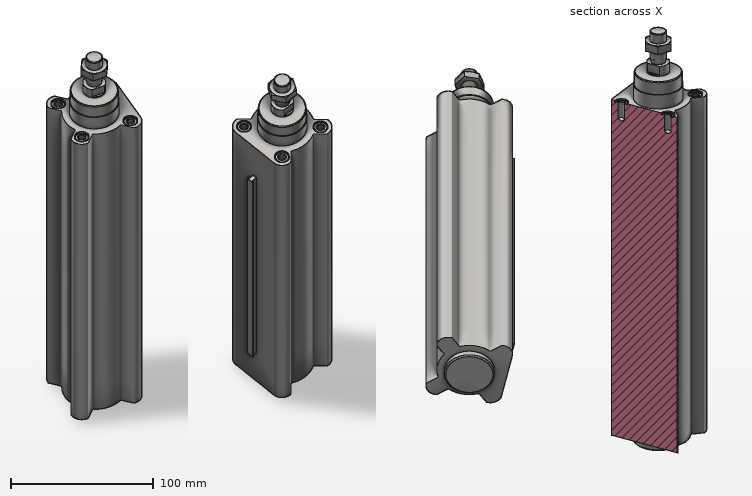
import cadquery as cq
import math


rear_collar_height = 4.8
tube_top = 269.0
collar_step_height = 11.0
collar_height = 21.0
collar_top = tube_top + collar_height
shoulder_top = 297.8
thread_start = 301.5
overall_height = 322.0

tube_radius = 23.0
tube_length = tube_top - rear_collar_height
bolt_pitch = 38.0
lug_end_radius = 8.0
lug_width = 13.0
lug_angles = (45, 135, 225, 315)
lug_edge_fillet = 1.3
lug_root_fillet = 1.0
radius_tolerance = 0.03
back_face_y = 27.0

collar_diameter = 35.0
collar_nose_diameter = 33.8
rear_chamfer = 1.0
nose_chamfer = 0.5

recess_diameter = 10.3
recess_depth = 1.5
screw_head_diameter = 9.5
screw_head_top_diameter = 9.0
screw_head_drop = 0.5
screw_head_bevel = (screw_head_diameter - screw_head_top_diameter) / 2
screw_hole_diameter = 4.8
screw_countersink_diameter = 6.0
screw_countersink_depth = (screw_countersink_diameter - screw_hole_diameter) / 2
screw_hole_depth = 13.0
drill_point_angle = 118

rail_bottom = 37.5
rail_length = 199.0
rail_head_width = 5.0
rail_web_width = 3.2
rail_height = 4.8
rail_head_thickness = 1.0

rod_diameter = 16.0
rod_bore_depth = 32.2
rod_flats_width = 13.0
rod_flats_bottom = collar_top + 1.0
thread_diameter = 12.0
thread_chamfer = 0.5
neck_diameter = 10.3
neck_taper_height = 2.5

nut_width = 18.0
nut_thickness = 6.0
nut_bottom = 308.5
nut_chamfer_angle = 20
nut_turn = 30


def disc(diameter, bottom, height):
    """Upright cylinder on the main axis."""
    return cq.Workplane("XY").workplane(offset=bottom).circle(diameter / 2).extrude(height)


def make_lug(angle):
    """Bolt lug that reaches out along a diagonal and ends in an arc about its bolt."""
    bolt_distance = bolt_pitch / math.sqrt(2)
    half_width = lug_width / 2
    arc_start = bolt_distance + math.sqrt(lug_end_radius**2 - half_width**2)
    return (
        cq.Workplane("XY")
        .workplane(offset=rear_collar_height)
        .moveTo(0, -half_width)
        .lineTo(arc_start, -half_width)
        .threePointArc((bolt_distance + lug_end_radius, 0), (arc_start, half_width))
        .lineTo(0, half_width)
        .close()
        .extrude(tube_length)
        .edges("|Z")
        .edges(">X")
        .fillet(lug_edge_fillet)
        .rotate((0, 0, 0), (0, 0, 1), angle)
    )


def make_back_wall():
    """Flat wall that closes the gap between the two lugs on the +Y side."""
    return (
        cq.Workplane("XY")
        .workplane(offset=rear_collar_height)
        .rect(bolt_pitch, back_face_y, centered=(True, False))
        .extrude(tube_length)
    )


def make_rail():
    """T-shaped sensor rail along the back face."""
    web = (
        cq.Workplane("XY")
        .box(rail_web_width, rail_height, rail_length, centered=(True, False, False))
        .translate((0, back_face_y, rail_bottom))
    )
    head = (
        cq.Workplane("XY")
        .box(rail_head_width, rail_head_thickness, rail_length, centered=(True, False, False))
        .translate((0, back_face_y + rail_height - rail_head_thickness, rail_bottom))
    )
    return web.union(head)


def make_screw_recess(x, y):
    """Cutter that leaves a bevelled screw head, with a countersunk blind hole, in a recess."""
    hole_radius = screw_hole_diameter / 2
    head_top = -screw_head_drop
    hole_bottom = head_top - screw_hole_depth
    drill_point = hole_radius / math.tan(math.radians(drill_point_angle / 2))
    return (
        cq.Workplane("XZ")
        .polyline(
            [
                (0, 0),
                (recess_diameter / 2, 0),
                (recess_diameter / 2, -recess_depth),
                (screw_head_diameter / 2, -recess_depth),
                (screw_head_diameter / 2, head_top - screw_head_bevel),
                (screw_head_top_diameter / 2, head_top),
                (screw_countersink_diameter / 2, head_top),
                (hole_radius, head_top - screw_countersink_depth),
                (hole_radius, hole_bottom),
                (0, hole_bottom - drill_point),
            ]
        )
        .close()
        .revolve(360, (0, 0, 0), (0, 1, 0))
        .translate((x, y, tube_top))
    )


def is_lug_root(edge):
    """True for an edge where the side of a lug meets the round tube."""
    center = edge.Center()
    on_tube = abs(math.hypot(center.x, center.y) - tube_radius) < radius_tolerance
    beside_lug = abs(abs(center.x) - abs(center.y)) < lug_width
    return on_tube and beside_lug


def make_tube():
    """Round tube with four filleted lugs and a flat back wall."""
    tube = disc(2 * tube_radius, rear_collar_height, tube_length)
    for angle in lug_angles:
        tube = tube.union(make_lug(angle))
    tube = tube.union(make_back_wall())
    return tube.edges("|Z").filter(is_lug_root).fillet(lug_root_fillet)


def make_housing():
    """Profiled tube with both end collars, the sensor rail and the bore for the rod."""
    housing = make_tube().union(make_rail())

    rear_collar = disc(collar_diameter, 0, rear_collar_height).faces("<Z").chamfer(rear_chamfer)
    housing = housing.union(rear_collar)
    housing = housing.union(disc(collar_diameter, tube_top, collar_step_height))
    nose = disc(collar_nose_diameter, tube_top, collar_height).faces(">Z").chamfer(nose_chamfer)
    housing = housing.union(nose)

    for x in (-bolt_pitch / 2, bolt_pitch / 2):
        for y in (-bolt_pitch / 2, bolt_pitch / 2):
            housing = housing.cut(make_screw_recess(x, y))
    return housing.cut(disc(rod_diameter, collar_top - rod_bore_depth, rod_bore_depth))


def make_rod():
    """Piston rod with two wrench flats, an undercut neck and a threaded end."""
    rod_bottom = collar_top - rod_bore_depth
    thread_radius = thread_diameter / 2
    neck_radius = neck_diameter / 2
    rod = (
        cq.Workplane("XZ")
        .polyline(
            [
                (0, rod_bottom),
                (rod_diameter / 2, rod_bottom),
                (rod_diameter / 2, shoulder_top),
                (neck_radius, shoulder_top),
                (neck_radius, thread_start - neck_taper_height),
                (thread_radius, thread_start),
                (thread_radius, overall_height - thread_chamfer),
                (thread_radius - thread_chamfer, overall_height),
                (0, overall_height),
            ]
        )
        .close()
        .revolve(360, (0, 0, 0), (0, 1, 0))
    )
    flats_height = shoulder_top - rod_flats_bottom
    flats_zone = disc(rod_diameter, rod_flats_bottom, flats_height)
    kept_core = (
        cq.Workplane("XY")
        .workplane(offset=rod_flats_bottom)
        .rect(rod_flats_width, rod_diameter)
        .extrude(flats_height)
    )
    return rod.cut(flats_zone.cut(kept_core))


def make_nut():
    """Hexagon lock nut with flats facing -X and +X and its upper corners chamfered."""
    corner_radius = nut_width / math.sqrt(3)
    chamfer_height = (corner_radius - nut_width / 2) * math.tan(math.radians(nut_chamfer_angle))
    hexagon = (
        cq.Workplane("XY")
        .polygon(6, 2 * corner_radius)
        .extrude(nut_thickness)
        .rotate((0, 0, 0), (0, 0, 1), nut_turn)
    )
    envelope = (
        cq.Workplane("XZ")
        .polyline(
            [
                (0, 0),
                (corner_radius, 0),
                (corner_radius, nut_thickness - chamfer_height),
                (nut_width / 2, nut_thickness),
                (0, nut_thickness),
            ]
        )
        .close()
        .revolve(360, (0, 0, 0), (0, 1, 0))
    )
    nut = hexagon.intersect(envelope).translate((0, 0, nut_bottom))
    return nut.cut(disc(thread_diameter, nut_bottom, nut_thickness))


housing = make_housing()
rod = make_rod()
nut = make_nut()

result = cq.Compound.makeCompound([housing.val(), rod.val(), nut.val()])